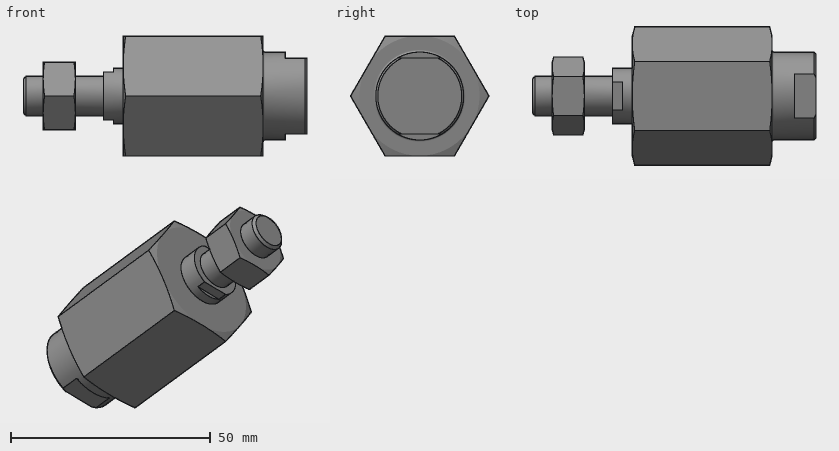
import cadquery as cq
import math

total_length = 71.0
nut_start = 5.0
nut_thickness = 8.0
collar_start = 20.0
collar_flat_length = 2.5
body_start = 25.0
body_end = 60.0
rear_flat_length = 5.5

stud_diameter = 10.0
nut_width = 17.0
collar_diameter = 14.0
collar_flat_width = 12.1
body_width = 30.0
rear_diameter = 22.0
rear_flat_width = 19.0

stud_chamfer = 0.7
rear_chamfer = 0.5
root_fillet = 0.5
hex_chamfer_angle = 15.0


def cylinder(start, end, diameter):
    """Solid cylinder about the X axis between two stations."""
    return cq.Workplane("YZ", origin=(start, 0, 0)).circle(diameter / 2).extrude(end - start)


def chamfered_hex(start, end, width):
    """Hexagonal prism with horizontal flats and conically chamfered corners at both ends."""
    corner_diameter = width / math.cos(math.radians(30))
    corner_radius = corner_diameter / 2
    flat_radius = width / 2
    drop = (corner_radius - flat_radius) * math.tan(math.radians(hex_chamfer_angle))
    prism = cq.Workplane("YZ", origin=(start, 0, 0)).polygon(6, corner_diameter).extrude(end - start)
    envelope = (
        cq.Workplane("XY")
        .moveTo(start, 0)
        .lineTo(start, flat_radius)
        .lineTo(start + drop, corner_radius)
        .lineTo(end - drop, corner_radius)
        .lineTo(end, flat_radius)
        .lineTo(end, 0)
        .close()
        .revolve(360, (0, 0, 0), (1, 0, 0))
    )
    return prism.intersect(envelope)


def cut_flats(shaft, start, length, width, diameter):
    """Mill a pair of horizontal wrench flats, leaving the given width along Z."""
    for side in (1, -1):
        cutter = cq.Workplane("XY").box(length, diameter, diameter, centered=(False, True, True))
        shaft = shaft.cut(cutter.translate((start, 0, side * (width + diameter) / 2)))
    return shaft


stud = cylinder(0, body_start, stud_diameter).faces("<X").chamfer(stud_chamfer)
nut = chamfered_hex(nut_start, nut_start + nut_thickness, nut_width)

collar = cylinder(collar_start, body_start, collar_diameter)
collar = cut_flats(collar, collar_start, collar_flat_length, collar_flat_width, collar_diameter)

body = chamfered_hex(body_start, body_end, body_width)

boss = cylinder(body_end, total_length, rear_diameter).faces(">X").chamfer(rear_chamfer)
boss = cut_flats(boss, total_length - rear_flat_length, rear_flat_length, rear_flat_width, rear_diameter)

root_edge = cq.selectors.BoxSelector(
    (body_end - root_fillet, -rear_diameter, -rear_diameter),
    (body_end + root_fillet, rear_diameter, rear_diameter),
    boundingbox=True,
)
body = body.union(boss)
body = body.edges(root_edge).edges("%CIRCLE").edges(cq.selectors.RadiusNthSelector(0)).fillet(root_fillet)

result = stud.union(nut).union(collar).union(body)